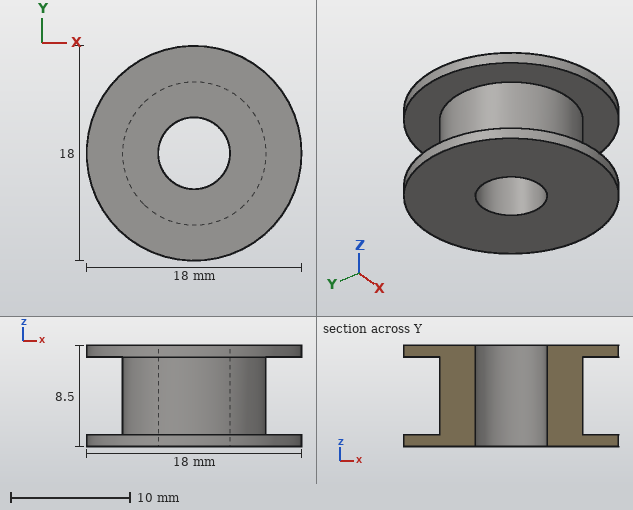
import cadquery as cq

flange_diameter = 18.0
hub_diameter = 12.0
bore_diameter = 6.0
total_height = 8.5
flange_thickness = 1.0


def disc(diameter, height, base_z):
    """Solid cylinder on the Z axis, standing on the height base_z."""
    return cq.Workplane("XY").workplane(offset=base_z).circle(diameter / 2).extrude(height)


bottom_z = -total_height / 2
top_flange_z = total_height / 2 - flange_thickness

spool = disc(hub_diameter, total_height, bottom_z)
for flange_z in (bottom_z, top_flange_z):
    spool = spool.union(disc(flange_diameter, flange_thickness, flange_z))

result = spool.cut(disc(bore_diameter, total_height, bottom_z))